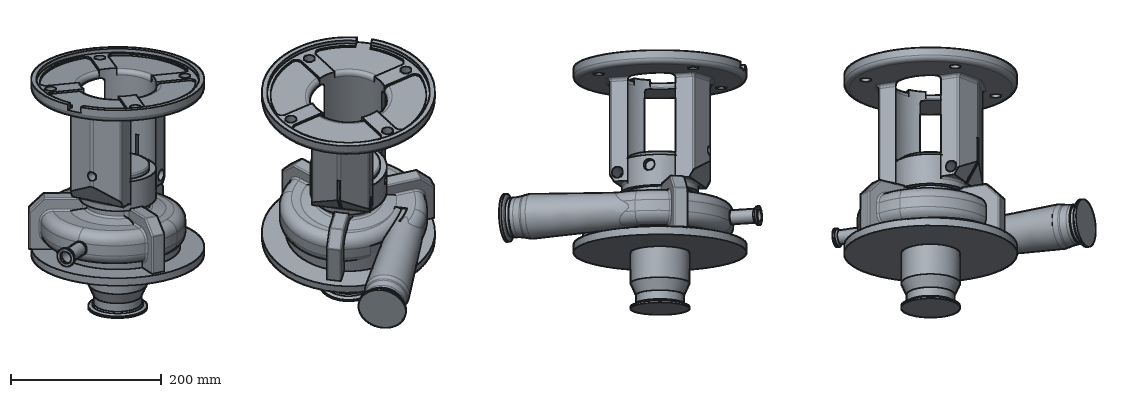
import cadquery as cq
import math

BASE_BOTTOM = 76.2
BASE_TOP = 87.0
VOLUTE_BOTTOM = 95.8
VOLUTE_TOP = 142.0
NECK_BASE = 145.0
COLLAR_BOTTOM = 157.3
RIB_TOP = 160.0
LEG_BOTTOM = 168.0
COLLAR_TOP = 198.5
HUB_TOP = 205.5
MOUNT_BOTTOM = 309.0
MOUNT_TOP = 326.5
PORT_HEIGHT = 118.0

FLANGE_DIAMETER = 230.0
FLANGE_RADIUS = FLANGE_DIAMETER / 2
BORE_RADIUS = 51.0
HUB_RADIUS = 42.2
HUB_FILLET = 2.0
NECK_RADIUS = 43.2

RIM_INNER_RADIUS = 108.0
LEDGE_DEPTH = 5.2
POCKET_RADIUS = 103.3
POCKET_DEPTH = 8.0
POCKET_CORNER = 8.2
SPOKE_WIDTH = 24.2
MOUNT_HOLE_DIAMETER = 14.7
MOUNT_HOLE_CIRCLE = 92.2
MOUNT_EDGE_FILLET = 7.0
BORE_LIP_FILLET = 6.5
NOTCH_WIDTH = 20.3

LEG_WIDTH = 78.0
LEG_HALF_WIDTH = LEG_WIDTH / 2
LEG_SHOULDER = 58.2
LEG_RIDGE = 69.0
RIDGE_HALF_WIDTH = 2.5
LEG_CORNER_FILLET = 3.0
LEG_TOP_FILLET = 5.0
LEG_FOOT_FILLET = 3.0
SLANT_TOP = 195.2
SLANT_FOOT = 52.3
SLIT_WIDTH = 3.5
SLIT_TOP = 229.0
RIDGE_HOLE_DIAMETER = 12.5
RIDGE_HOLE_HEIGHT = 210.3
CLAMP_HOLE_DIAMETER = 15.0
CLAMP_HOLE_OFFSET = 47.5
CLAMP_HOLE_HEIGHT = 180.2
COLLAR_HOLE_HEIGHT = 185.5
COLLAR_HOLE_DEPTH = BORE_RADIUS - HUB_RADIUS

SPIRAL_STEP = 6.5
SPIRAL_START_RADIUS = 102.0
LEAD_ANGLE = 20
LEAD_THICKNESS = 9.8
VOLUTE_ROUND = 15.7
VOLUTE_CONE_RADIUS = 63.8
NECK_FILLET = 3.0
PLINTH_RADIUS = 83.5

RIBS = ((210, 118.0), (330, 108.5), (90, 104.3))
RIB_WIDTH = 19.5
RIB_CHAMFER = 19.5
RIB_EDGE_FILLET = 2.0
RIB_NECK_FILLET = 6.5
RIB_WALL_FILLET = 2.5

SUCTION_RADIUS = 39.2
SUCTION_NECK_RADIUS = 32.0

OUTLET_X = -81.5
OUTLET_END = 189.3
OUTLET_RADIUS = 30.0
OUTLET_ROOT_RADIUS = 23.0
OUTLET_NECK_RADIUS = 26.8
FERRULE_NECK_RADIUS = 26.0
OUTLET_FLANGE_RADIUS = 32.0

DRAIN_END = 137.7
DRAIN_ROOT = 88.3
DRAIN_DIAMETER = 19.3
DRAIN_RADIUS = DRAIN_DIAMETER / 2
DRAIN_FLANGE_RADIUS = 12.8
DRAIN_BORE_DIAMETER = 17.0
DRAIN_BORE_DEPTH = 38.5

PICK_MARGIN = 0.3


def cylinder(radius, bottom, top):
    return cq.Workplane("XY").workplane(offset=bottom).circle(radius).extrude(top - bottom)


def block(x_range, y_range, z_range):
    sizes = [high - low for low, high in (x_range, y_range, z_range)]
    return cq.Workplane("XY").box(*sizes, centered=False).translate((x_range[0], y_range[0], z_range[0]))


def revolved(profile):
    """Solid of revolution about Z of an outline of (radius, height) points."""
    return cq.Workplane("XZ").polyline(profile).close().revolve(360, (0, 0), (0, 1))


def turned(body, angle):
    return body.rotate((0, 0, 0), (0, 0, 1), angle)


def upright_edges(body, zone):
    return body.edges(cq.selectors.AndSelector(cq.StringSyntaxSelector("|Z"), zone))


def mounting_flange():
    floor = MOUNT_TOP - POCKET_DEPTH
    lip_bottom = floor - BORE_LIP_FILLET
    flange = cylinder(FLANGE_RADIUS, MOUNT_BOTTOM, MOUNT_TOP).faces("<Z").edges().fillet(MOUNT_EDGE_FILLET)
    flange = flange.cut(cylinder(RIM_INNER_RADIUS, MOUNT_TOP - LEDGE_DEPTH, MOUNT_TOP))

    spoke = (
        cq.Workplane("XY").workplane(offset=lip_bottom).transformed(rotate=(0, 0, 45))
        .rect(2 * FLANGE_RADIUS, SPOKE_WIDTH).extrude(MOUNT_TOP - lip_bottom)
    )
    spokes = spoke.union(turned(spoke, 90))
    pockets = turned(cylinder(POCKET_RADIUS, floor, MOUNT_TOP), 45).cut(spokes)
    pockets = pockets.edges("|Z").fillet(POCKET_CORNER)
    lip = (
        cq.Workplane("XZ").moveTo(0, floor).lineTo(BORE_RADIUS + BORE_LIP_FILLET, floor)
        .radiusArc((BORE_RADIUS, lip_bottom), -BORE_LIP_FILLET)
        .lineTo(0, lip_bottom).close().revolve(360, (0, 0), (0, 1))
    )
    flange = flange.cut(pockets).cut(lip.cut(spokes))

    flange = flange.cut(cylinder(BORE_RADIUS, MOUNT_BOTTOM, MOUNT_TOP))
    holes = (
        cq.Workplane("XY").workplane(offset=MOUNT_BOTTOM)
        .polarArray(MOUNT_HOLE_CIRCLE, 45, 360, 4).circle(MOUNT_HOLE_DIAMETER / 2)
        .extrude(MOUNT_TOP - MOUNT_BOTTOM)
    )
    notch = block(
        (-NOTCH_WIDTH / 2, NOTCH_WIDTH / 2), (-FLANGE_RADIUS, -POCKET_RADIUS + 3.3), (floor, MOUNT_TOP)
    )
    return flange.cut(holes).cut(notch)


def front_leg():
    """Leg on the -Y side: a shallow V outside, the bore inside, a slanted foot."""
    leg = (
        cq.Workplane("XY").workplane(offset=LEG_BOTTOM)
        .polyline([
            (-LEG_HALF_WIDTH, 0), (-LEG_HALF_WIDTH, -LEG_SHOULDER), (-RIDGE_HALF_WIDTH, -LEG_RIDGE),
            (RIDGE_HALF_WIDTH, -LEG_RIDGE), (LEG_HALF_WIDTH, -LEG_SHOULDER), (LEG_HALF_WIDTH, 0),
        ])
        .close().extrude(MOUNT_BOTTOM - LEG_BOTTOM)
    )
    shoulders = cq.selectors.BoxSelector(
        (-FLANGE_RADIUS, -LEG_SHOULDER - 3.3, 0), (FLANGE_RADIUS, -LEG_SHOULDER + 3.3, MOUNT_TOP)
    )
    leg = upright_edges(leg, shoulders).fillet(LEG_CORNER_FILLET)
    foot_cut = (
        cq.Workplane("YZ").workplane(offset=-LEG_HALF_WIDTH)
        .polyline([(-LEG_RIDGE, SLANT_TOP), (-SLANT_FOOT, LEG_BOTTOM), (-LEG_RIDGE, LEG_BOTTOM)])
        .close().extrude(2 * LEG_HALF_WIDTH)
    )
    return leg.cut(foot_cut).cut(cylinder(BORE_RADIUS, LEG_BOTTOM, MOUNT_BOTTOM))


def collar():
    hub = cylinder(HUB_RADIUS, COLLAR_TOP, HUB_TOP).faces(">Z").edges().fillet(HUB_FILLET)
    return cylinder(BORE_RADIUS, COLLAR_BOTTOM, COLLAR_TOP).union(hub)


def lantern():
    """Mounting flange, both legs and the collar, with the legs blended at both ends."""
    leg = front_leg()
    body = mounting_flange().union(leg).union(leg.mirror("XZ"))
    root_zone = cq.selectors.BoxSelector(
        (-FLANGE_RADIUS / 2, -LEG_RIDGE - 3.3, MOUNT_BOTTOM - PICK_MARGIN),
        (FLANGE_RADIUS / 2, LEG_RIDGE + 3.3, MOUNT_BOTTOM + PICK_MARGIN),
    )
    body = body.edges(root_zone).edges("not %CIRCLE").fillet(LEG_TOP_FILLET)

    body = body.union(collar())
    foot_zone = cq.selectors.BoxSelector(
        (-FLANGE_RADIUS, -FLANGE_RADIUS, LEG_BOTTOM - PICK_MARGIN),
        (FLANGE_RADIUS, FLANGE_RADIUS, LEG_BOTTOM + PICK_MARGIN),
    )
    return body.edges(foot_zone).edges("%CIRCLE").fillet(LEG_FOOT_FILLET)


def is_outer_rib_edge(edge):
    centre = edge.Center()
    return centre.z > BASE_TOP + PICK_MARGIN and math.hypot(centre.x, centre.y) > BORE_RADIUS


def neck_and_ribs():
    body = cylinder(NECK_RADIUS, BASE_TOP, RIB_TOP)
    for angle, reach in RIBS:
        rib = block((0, reach), (-RIB_WIDTH / 2, RIB_WIDTH / 2), (BASE_TOP, RIB_TOP))
        rib = rib.edges(">X and >Z").chamfer(RIB_CHAMFER)
        body = body.union(turned(rib, angle))

    corner_zone = cq.selectors.BoxSelector(
        (-NECK_RADIUS, -NECK_RADIUS, BASE_TOP), (NECK_RADIUS - PICK_MARGIN, NECK_RADIUS, RIB_TOP)
    )
    body = upright_edges(body, corner_zone).fillet(RIB_NECK_FILLET)
    return body.edges().filter(is_outer_rib_edge).fillet(RIB_EDGE_FILLET)


def volute_sector(radius, inner_radius, angle):
    """Rounded casing wall swept about Z from the -X direction, counter-clockwise."""
    return (
        cq.Workplane("XZ").moveTo(-inner_radius, VOLUTE_BOTTOM).lineTo(-radius + VOLUTE_ROUND, VOLUTE_BOTTOM)
        .radiusArc((-radius, VOLUTE_BOTTOM + VOLUTE_ROUND), VOLUTE_ROUND)
        .lineTo(-radius, VOLUTE_TOP - VOLUTE_ROUND)
        .radiusArc((-radius + VOLUTE_ROUND, VOLUTE_TOP), VOLUTE_ROUND)
        .lineTo(-inner_radius, VOLUTE_TOP).close().revolve(angle, (0, 0), (0, 1))
    )


def volute():
    half_step = SPIRAL_STEP / 2
    centres = (
        (-half_step, half_step), (-half_step, -half_step), (half_step, -half_step), (half_step, half_step)
    )
    body = cylinder(PLINTH_RADIUS, BASE_TOP, VOLUTE_TOP - VOLUTE_ROUND)

    cone = (
        cq.Workplane("XZ").moveTo(0, VOLUTE_BOTTOM).lineTo(VOLUTE_CONE_RADIUS - 9.8, VOLUTE_BOTTOM)
        .lineTo(VOLUTE_CONE_RADIUS, VOLUTE_TOP).lineTo(NECK_RADIUS + NECK_FILLET, NECK_BASE)
        .radiusArc((NECK_RADIUS, NECK_BASE + NECK_FILLET), NECK_FILLET)
        .lineTo(0, NECK_BASE + NECK_FILLET).close().revolve(360, (0, 0), (0, 1))
    )
    body = body.union(cone)
    for quarter, (x, y) in enumerate(centres):
        sector = volute_sector(SPIRAL_START_RADIUS - quarter * SPIRAL_STEP, 0, 90)
        body = body.union(turned(sector, 90 * quarter).translate((x, y, 0)))

    lead_radius = SPIRAL_START_RADIUS + SPIRAL_STEP
    lead = volute_sector(lead_radius, lead_radius - VOLUTE_ROUND - LEAD_THICKNESS, LEAD_ANGLE)
    return body.union(turned(lead, -LEAD_ANGLE).translate((half_step, half_step, 0)))


def suction_port():
    """Base flange with the suction pipe and its clamp ferrule below."""
    base = cylinder(FLANGE_RADIUS, BASE_BOTTOM, BASE_TOP)
    return base.union(revolved([
        (0, 0), (SUCTION_RADIUS, 0), (SUCTION_RADIUS, 2.5), (34.0, 4.5), (SUCTION_NECK_RADIUS, 6.5),
        (SUCTION_NECK_RADIUS, 18.3), (SUCTION_RADIUS, 34.3), (SUCTION_RADIUS, BASE_BOTTOM),
        (0, BASE_BOTTOM),
    ]))


def casing():
    """Suction port, volute, neck and ribs; the two ribs clear of the outlet blend into the volute rim."""
    body = suction_port().union(volute()).union(neck_and_ribs())
    for angle, reach in RIBS[:2]:
        rim_zone = cq.selectors.BoxSelector(
            (NECK_RADIUS, -RIB_WIDTH / 2 - PICK_MARGIN, VOLUTE_BOTTOM + PICK_MARGIN),
            (reach - 3.3, RIB_WIDTH / 2 + PICK_MARGIN, VOLUTE_TOP - PICK_MARGIN),
        )
        body = turned(body, -angle)
        body = body.edges(rim_zone).fillet(RIB_WALL_FILLET)
        body = turned(body, angle)
    return body


def outlet_port():
    """Widening discharge pipe that narrows to a neck and a clamp ferrule."""
    pipe = revolved([
        (0, 0), (OUTLET_ROOT_RADIUS, 0), (OUTLET_RADIUS, 153.7), (28.8, 161.0), (28.0, 163.0),
        (OUTLET_NECK_RADIUS, 172.0), (OUTLET_NECK_RADIUS, 177.2), (FERRULE_NECK_RADIUS, 178.2),
        (FERRULE_NECK_RADIUS, 182.5), (28.5, 184.0), (OUTLET_FLANGE_RADIUS, 186.0),
        (OUTLET_FLANGE_RADIUS, OUTLET_END), (0, OUTLET_END),
    ])
    return pipe.rotate((0, 0, 0), (1, 0, 0), -90).translate((OUTLET_X, 0, PORT_HEIGHT))


def toward_front(body):
    """Lay a body built along Z onto the drain axis, pointing to -Y."""
    return body.rotate((0, 0, 0), (1, 0, 0), 90).translate((0, 0, PORT_HEIGHT))


def drain_port():
    return toward_front(revolved([
        (0, DRAIN_ROOT), (DRAIN_RADIUS, DRAIN_ROOT), (DRAIN_RADIUS, 131.5), (11.8, 134.5),
        (DRAIN_FLANGE_RADIUS, 134.7), (DRAIN_FLANGE_RADIUS, DRAIN_END), (0, DRAIN_END),
    ]))


def drain_bore():
    return toward_front(cylinder(DRAIN_BORE_DIAMETER / 2, DRAIN_END - DRAIN_BORE_DEPTH, DRAIN_END))


def cross_holes():
    """Ridge hole in the front leg, clamp-bolt hole in the rear leg, blind hole in the collar."""
    ridge_hole = (
        cq.Workplane("XZ").workplane(offset=HUB_RADIUS).center(0, RIDGE_HOLE_HEIGHT)
        .circle(RIDGE_HOLE_DIAMETER / 2).extrude(FLANGE_RADIUS - HUB_RADIUS)
    )
    clamp_hole = (
        cq.Workplane("YZ").center(CLAMP_HOLE_OFFSET, CLAMP_HOLE_HEIGHT)
        .circle(CLAMP_HOLE_DIAMETER / 2).extrude(LEG_HALF_WIDTH + 3.3, both=True)
    )
    collar_hole = (
        cq.Workplane("YZ").workplane(offset=-BORE_RADIUS).center(0, COLLAR_HOLE_HEIGHT)
        .circle(CLAMP_HOLE_DIAMETER / 2).extrude(COLLAR_HOLE_DEPTH)
    )
    return ridge_hole.union(clamp_hole).union(collar_hole)


def clamp_slit():
    return block((-SLIT_WIDTH / 2, SLIT_WIDTH / 2), (HUB_RADIUS, FLANGE_RADIUS), (LEG_BOTTOM, SLIT_TOP))


result = (
    casing().union(lantern())
    .union(outlet_port()).union(drain_port())
    .cut(drain_bore()).cut(cross_holes()).cut(clamp_slit())
)